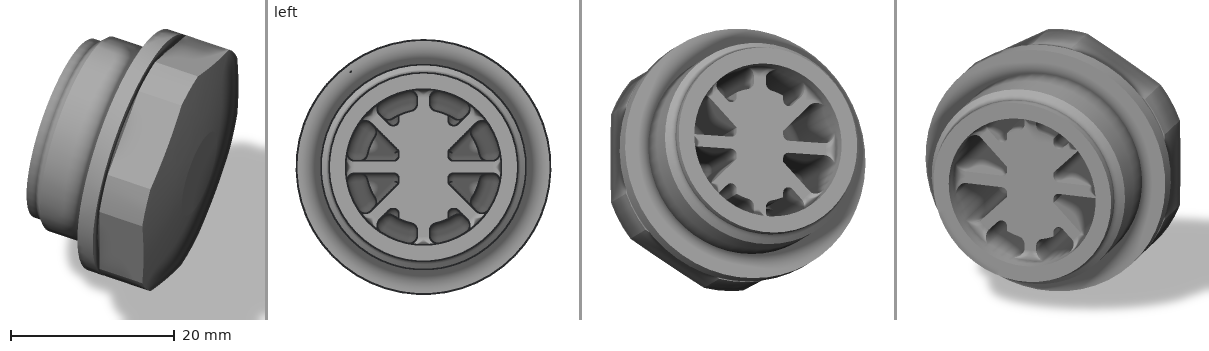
import cadquery as cq
import math


TIP_END = 1.2
SHANK_START = 2.25
WASHER_START = 8.5
WASHER_THICKNESS = 2.05
COLLAR_START = WASHER_START + WASHER_THICKNESS
HEAD_START = 11.0
DOME_START = 16.7
TOTAL_LENGTH = 18.0

TIP_RADIUS = 11.5
SHANK_RADIUS = 12.5
COLLAR_RADIUS = 14.0
HEAD_RADIUS = 15.5
WASHER_RADIUS = 15.5
HEX_ACROSS_FLATS = 29.0

DOME_FLAT_RADIUS = 5.4
DOME_CURVATURE_RADIUS = 120.0

BORE_RADIUS = 9.5
BORE_DEPTH = 3.0
BORE_FILLET = 1.0
POCKET_START = BORE_DEPTH - BORE_FILLET

RIB_COUNT = 8
RIB_HALF_WIDTH = 0.75
RIB_PITCH = 360.0 / RIB_COUNT
CORE_HALF_WIDTH = 3.0

DIAGONAL_RIB_RISE = RIB_HALF_WIDTH * math.sqrt(2)

GROOVE_INNER_RADIUS = 7.0
GROOVE_END = 15.0
GROOVE_FILLET = 1.0

POCKET_END = 13.0
POCKET_OUTER_RADIUS = (GROOVE_INNER_RADIUS + BORE_RADIUS) / 2
POCKET_FILLET = 0.7


def polar(radius, degrees):
    """Point in the YZ plane at an angle measured from +Y towards +Z."""
    angle = math.radians(degrees)
    return (radius * math.cos(angle), radius * math.sin(angle))


def rib_angle(radius):
    """Angle that half a rib width takes up at a radius."""
    return math.degrees(math.asin(RIB_HALF_WIDTH / radius))


def turned_blank():
    """Tip, lead-in cone, shank, collar and domed head, turned about the X axis."""
    return (
        cq.Workplane("XZ")
        .moveTo(0, 0)
        .lineTo(0, TIP_RADIUS)
        .lineTo(TIP_END, TIP_RADIUS)
        .lineTo(SHANK_START, SHANK_RADIUS)
        .lineTo(COLLAR_START, SHANK_RADIUS)
        .lineTo(COLLAR_START, COLLAR_RADIUS)
        .lineTo(HEAD_START, COLLAR_RADIUS)
        .lineTo(HEAD_START, HEAD_RADIUS)
        .lineTo(DOME_START, HEAD_RADIUS)
        .radiusArc((TOTAL_LENGTH, DOME_FLAT_RADIUS), DOME_CURVATURE_RADIUS)
        .lineTo(TOTAL_LENGTH, 0)
        .close()
        .revolve(360, (0, 0), (1, 0))
    )


def hexagon_envelope():
    """Hexagonal prism over the whole length, with two flats facing +Y and -Y."""
    across_corners = HEX_ACROSS_FLATS / math.cos(math.radians(30))
    return (
        cq.Workplane("YZ")
        .transformed(rotate=(0, 0, 30))
        .polygon(6, across_corners)
        .extrude(TOTAL_LENGTH)
    )


def bore_cutter():
    return (
        cq.Workplane("YZ")
        .circle(BORE_RADIUS)
        .extrude(BORE_DEPTH)
        .faces(">X")
        .edges()
        .fillet(BORE_FILLET)
    )


def groove_cutter():
    """Round-cornered, round-bottomed groove in the gap between the +Y rib and the next one."""
    inner = rib_angle(GROOVE_INNER_RADIUS)
    outer = rib_angle(BORE_RADIUS)
    middle = RIB_PITCH / 2
    return (
        cq.Workplane("YZ", origin=(POCKET_START, 0, 0))
        .moveTo(*polar(GROOVE_INNER_RADIUS, inner))
        .lineTo(*polar(BORE_RADIUS, outer))
        .threePointArc(polar(BORE_RADIUS, middle), polar(BORE_RADIUS, RIB_PITCH - outer))
        .lineTo(*polar(GROOVE_INNER_RADIUS, RIB_PITCH - inner))
        .threePointArc(polar(GROOVE_INNER_RADIUS, middle), polar(GROOVE_INNER_RADIUS, inner))
        .close()
        .extrude(GROOVE_END - POCKET_START)
        .edges("|X")
        .fillet(GROOVE_FILLET)
        .faces(">X")
        .edges()
        .fillet(GROOVE_FILLET)
    )


def side_pocket_cutter():
    """Pocket between the +Y rib, the core and the diagonal rib above it."""
    edge = rib_angle(POCKET_OUTER_RADIUS)
    return (
        cq.Workplane("YZ", origin=(POCKET_START, 0, 0))
        .moveTo(CORE_HALF_WIDTH, RIB_HALF_WIDTH)
        .lineTo(*polar(POCKET_OUTER_RADIUS, edge))
        .threePointArc(
            polar(POCKET_OUTER_RADIUS, RIB_PITCH / 2),
            polar(POCKET_OUTER_RADIUS, RIB_PITCH - edge),
        )
        .lineTo(CORE_HALF_WIDTH, CORE_HALF_WIDTH - DIAGONAL_RIB_RISE)
        .close()
        .extrude(POCKET_END - POCKET_START)
        .edges("|X and <Y and <Z")
        .fillet(POCKET_FILLET)
        .faces(">X")
        .edges()
        .fillet(POCKET_FILLET)
    )


def corner_pocket_cutter():
    """Small pocket between the core's side and the upper face of the diagonal rib."""
    edge = rib_angle(POCKET_OUTER_RADIUS)
    core_angle = math.degrees(math.acos(CORE_HALF_WIDTH / POCKET_OUTER_RADIUS))
    rib_corner = RIB_PITCH + edge
    return (
        cq.Workplane("YZ", origin=(POCKET_START, 0, 0))
        .moveTo(CORE_HALF_WIDTH, CORE_HALF_WIDTH + DIAGONAL_RIB_RISE)
        .lineTo(*polar(POCKET_OUTER_RADIUS, rib_corner))
        .threePointArc(
            polar(POCKET_OUTER_RADIUS, (rib_corner + core_angle) / 2),
            polar(POCKET_OUTER_RADIUS, core_angle),
        )
        .close()
        .extrude(POCKET_END - POCKET_START)
        .edges("|X and <Z")
        .fillet(POCKET_FILLET)
        .faces(">X")
        .edges()
        .fillet(POCKET_FILLET)
    )


def four_quadrants(cutter):
    """The cutter and its mirror images across the Y and Z axes."""
    pair = [cutter, cutter.mirror("XY")]
    return pair + [half.mirror("XZ") for half in pair]


def make_plug():
    plug = turned_blank().intersect(hexagon_envelope()).cut(bore_cutter())
    groove = groove_cutter()
    for index in range(RIB_COUNT):
        plug = plug.cut(groove.rotate((0, 0, 0), (1, 0, 0), index * RIB_PITCH))
    for cutter in (side_pocket_cutter(), corner_pocket_cutter()):
        for copy in four_quadrants(cutter):
            plug = plug.cut(copy)
    return plug


def make_washer():
    return (
        cq.Workplane("XZ")
        .moveTo(WASHER_START, SHANK_RADIUS)
        .lineTo(WASHER_START, WASHER_RADIUS)
        .lineTo(COLLAR_START, WASHER_RADIUS)
        .lineTo(COLLAR_START, SHANK_RADIUS)
        .close()
        .revolve(360, (0, 0), (1, 0))
    )


plug = make_plug()
washer = make_washer()
result = cq.Compound.makeCompound([plug.val(), washer.val()])